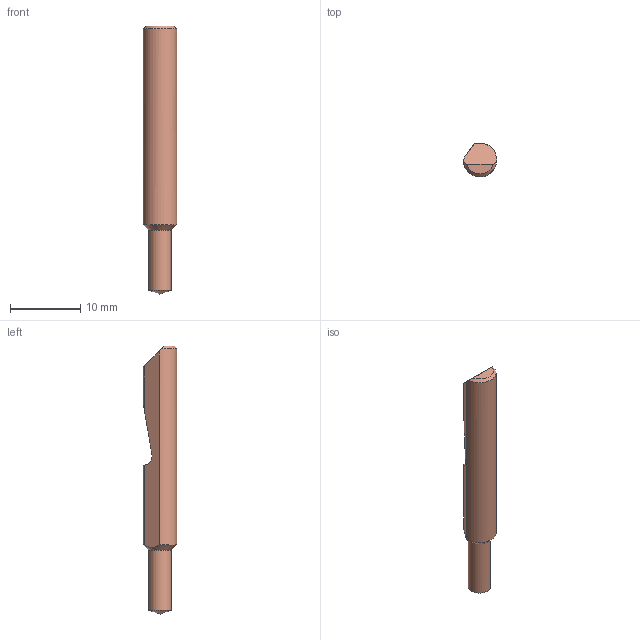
import cadquery as cq
import math

total_length = 38.1
body_diameter = 4.7625
shank_diameter = 3.175
body_radius = body_diameter / 2
shank_radius = shank_diameter / 2

point_included_angle = 144.0
point_height = shank_radius / math.tan(math.radians(point_included_angle / 2))
body_start = 9.87
shoulder_start = body_start - (body_radius - shank_radius)
top_chamfer = 0.38

flat_distance = 2.0
flat_normal_angle = 144.5

bevel_edge_y = -0.60

notch_radius = 1.25
notch_floor = 21.15
notch_ramp_angle = 9.6

clearance = 2 * body_diameter


def make_turned_pin():
    """Pin with a conical point, slim shank, 45 degree shoulder and chamfered body."""
    outline = (
        cq.Workplane("XZ")
        .moveTo(0, 0)
        .lineTo(shank_radius, point_height)
        .lineTo(shank_radius, shoulder_start)
        .lineTo(body_radius, body_start)
        .lineTo(body_radius, total_length - top_chamfer)
        .lineTo(body_radius - top_chamfer, total_length)
        .lineTo(0, total_length)
        .close()
    )
    return outline.revolve(360, (0, 0, 0), (0, 1, 0))


def make_flat_cutter():
    """Block that leaves the flat along the whole body; the shank lies inside the flat."""
    block = cq.Workplane("XY").box(
        clearance, clearance, total_length, centered=(False, True, False)
    )
    return block.translate((flat_distance, 0, 0)).rotate((0, 0, 0), (0, 0, 1), flat_normal_angle)


def make_bevel_cutter():
    """Triangular prism that slopes the top end down towards +Y at 45 degrees."""
    return (
        cq.Workplane("YZ")
        .moveTo(bevel_edge_y, total_length)
        .lineTo(bevel_edge_y + clearance, total_length - clearance)
        .lineTo(bevel_edge_y + clearance, total_length)
        .close()
        .extrude(clearance, both=True)
    )


def make_notch_cutter():
    """Prism with a quarter-round floor, centred on the body edge, blending into a straight ramp."""
    ramp = math.radians(notch_ramp_angle)
    center_z = notch_floor + notch_radius
    tangent_y = body_radius - notch_radius * math.cos(ramp)
    tangent_z = center_z + notch_radius * math.sin(ramp)
    ramp_end_z = center_z + notch_radius / math.sin(ramp)
    middle = (math.pi / 2 - ramp) / 2
    middle_y = body_radius - notch_radius * math.cos(middle)
    middle_z = center_z - notch_radius * math.sin(middle)
    return (
        cq.Workplane("YZ")
        .moveTo(body_radius, notch_floor)
        .threePointArc((middle_y, middle_z), (tangent_y, tangent_z))
        .lineTo(body_radius, ramp_end_z)
        .close()
        .extrude(clearance, both=True)
    )


result = (
    make_turned_pin()
    .cut(make_flat_cutter())
    .cut(make_bevel_cutter())
    .cut(make_notch_cutter())
)